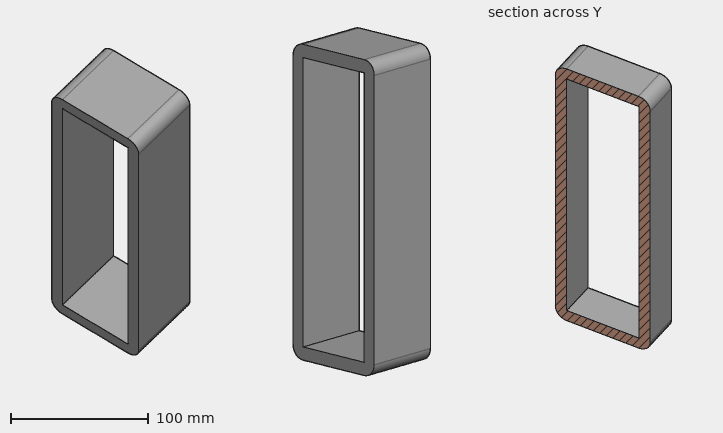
import cadquery as cq

width = 80.5
depth = 60.0
height = 238.0

wall = 10.0
corner_radius = wall

body = cq.Workplane("XY").box(width, depth, height).edges("|Y").fillet(corner_radius)

opening = cq.Workplane("XY").box(width - 2 * wall, depth, height - 2 * wall)

result = body.cut(opening)